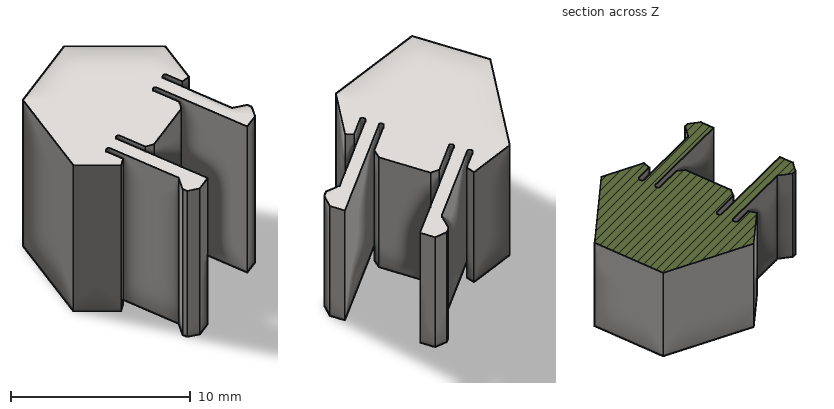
import cadquery as cq
import math

length = 11.8
width = 10.22
height = 12.25

flank_slope = math.tan(math.radians(30))
half_width = width / 2
shoulder_x = 4.86
nose_half_width = half_width - shoulder_x * flank_slope

lip_tip_x = 7.15
lip_root_x = 7.01
lip_tip_y = half_width - (lip_tip_x - shoulder_x) * flank_slope

tongue_end_x = 7.96
tongue_half_width = 1.91
tongue_chamfer_x = 0.34
tongue_chamfer_y = 0.39

slot_floor_x = 5.85
arm_inner_y = 2.2
arm_outer_y = 2.99
outer_slot_width = 0.32
slot_corner_radius = 0.12

hook_height = 0.61
hook_start_x = 10.38
hook_flat = 0.3
hook_crest_y = arm_outer_y + hook_height
hook_crest_x = hook_start_x + hook_height
hook_crest_end_x = hook_crest_x + hook_flat
hook_end_y = hook_crest_y - (length - hook_crest_end_x)

outer_slot_y = arm_outer_y + outer_slot_width

half_outline = [
    (0, nose_half_width),
    (shoulder_x, half_width),
    (lip_tip_x, lip_tip_y),
    (lip_root_x, outer_slot_y),
    (slot_floor_x, outer_slot_y),
    (slot_floor_x, arm_outer_y),
    (hook_start_x, arm_outer_y),
    (hook_crest_x, hook_crest_y),
    (hook_crest_end_x, hook_crest_y),
    (length, hook_end_y),
    (length, arm_inner_y),
    (slot_floor_x, arm_inner_y),
    (slot_floor_x, tongue_half_width),
    (tongue_end_x - tongue_chamfer_x, tongue_half_width),
    (tongue_end_x, tongue_half_width - tongue_chamfer_y),
]
mirrored_outline = [(x, -y) for x, y in reversed(half_outline)]

profile = cq.Workplane("XY").polyline(half_outline + mirrored_outline).close().extrude(height)


def round_slot_corners(body):
    """Round both floor corners of every slot."""
    corner_positions = [
        (slot_floor_x, side * y, height / 2)
        for side in (1, -1)
        for y in (outer_slot_y, arm_outer_y, arm_inner_y, tongue_half_width)
    ]
    for position in corner_positions:
        corner = cq.selectors.NearestToPointSelector(position)
        body = body.edges("|Z").edges(corner).fillet(slot_corner_radius)
    return body


result = round_slot_corners(profile)